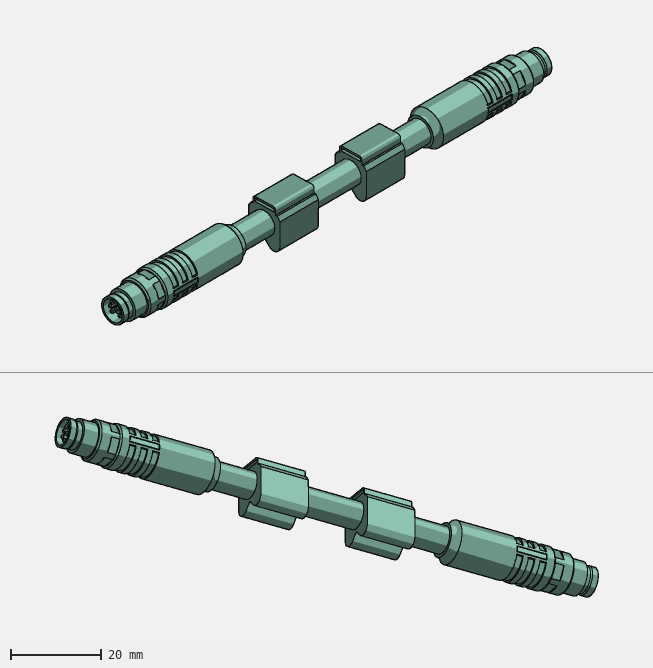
import cadquery as cq
import math

TOTAL_LENGTH = 135.8
HALF_LENGTH = TOTAL_LENGTH / 2
CABLE_RADIUS = 6.5 / 2

TIP_RADIUS = 6.9 / 2
NECK_RADIUS = 6.5 / 2
COLLAR_RADIUS = 8.0 / 2
RING_RADIUS = 9.6 / 2
BODY_RADIUS = 10.3 / 2

TIP_LENGTH = 1.5
NECK_START = 1.9
COLLAR_START = 3.1
RING_START = 6.8
RING_CHAMFER = 0.4
BODY_START = 11.8
BODY_CHAMFER = 0.4
FLARE_START = 36.1
PLUG_LENGTH = 38.1

FLAT_COUNT = 6
FLAT_DISTANCE = 4.5
FLAT_START = 9.6

GROOVE_COUNT = 3
GROOVE_START = 14.3
GROOVE_WIDTH = 1.6
GROOVE_PITCH = 3.0
GROOVE_FLOOR_RADIUS = 4.8
GRIP_LENGTH = GROOVE_PITCH * (GROOVE_COUNT - 1) + GROOVE_WIDTH
STRIP_WIDTH = 2.7
POCKET_WIDTH = 1.4
POCKET_FLOOR = 4.9

SOCKET_RADIUS = 5.8 / 2
SOCKET_DEPTH = 2.7
PIN_RADIUS = 1.0 / 2
PIN_LENGTH = 2.0
PIN_TIP_CHAMFER = 0.3
PIN_ROW_OFFSET = 1.2
SIDE_PIN_OFFSET = 1.8
KEY_BOTTOM = 1.8
KEY_HEIGHT = 1.4

CLIP_LENGTH = 12.2
CLIP_CENTRE = 13.7
CLIP_HALF_WIDTH = 9.6 / 2
CLIP_TOP = 5.7
CLIP_BOTTOM = -6.2
SHOULDER_RADIUS = 5.4
LEDGE_HEIGHT = 3.7
HOLDER_HALF_WIDTH = 3.5
HOLDER_CORNER = 0.8
FOOT_RADIUS = 1.9
NOTCH_SLOPE = 45.0
LABEL_SLOT_WIDTH = 6.1
LABEL_SLOT_BOTTOM = 4.3
LABEL_SLOT_TOP = 5.2

TIP_Y = -HALF_LENGTH


def rod(radius, start, length):
    """Round bar along +Y, its near end at Y = start."""
    return cq.Workplane("XZ", origin=(0, start, 0)).circle(radius).extrude(-length)


def bar(width, height, start, length):
    """Rectangular bar along +Y, centred on the cord axis."""
    return cq.Workplane("XZ", origin=(0, start, 0)).rect(width, height).extrude(-length)


def plug_shell():
    """Stepped turned outline of the plug at the -Y end, with a hollow flare behind the body."""
    steps = [
        (0, 0),
        (TIP_RADIUS, 0),
        (TIP_RADIUS, TIP_LENGTH),
        (NECK_RADIUS, NECK_START),
        (NECK_RADIUS, COLLAR_START),
        (COLLAR_RADIUS, COLLAR_START),
        (COLLAR_RADIUS, RING_START),
        (RING_RADIUS - RING_CHAMFER, RING_START),
        (RING_RADIUS, RING_START + RING_CHAMFER),
        (RING_RADIUS, BODY_START),
        (BODY_RADIUS - BODY_CHAMFER, BODY_START),
        (BODY_RADIUS, BODY_START + BODY_CHAMFER),
        (BODY_RADIUS, FLARE_START),
    ]
    flare_drop = BODY_RADIUS - COLLAR_RADIUS
    flare_length = PLUG_LENGTH - FLARE_START
    flare_radius = (flare_length**2 + flare_drop**2) / (2 * flare_drop)
    half_angle = math.asin(flare_length / flare_radius) / 2
    flare_middle = (
        COLLAR_RADIUS + flare_radius * (1 - math.cos(half_angle)),
        TIP_Y + PLUG_LENGTH - flare_radius * math.sin(half_angle),
    )
    return (
        cq.Workplane("ZY")
        .polyline([(radius, TIP_Y + station) for radius, station in steps])
        .threePointArc(flare_middle, (COLLAR_RADIUS, TIP_Y + PLUG_LENGTH))
        .lineTo(0, TIP_Y + PLUG_LENGTH)
        .close()
        .revolve(360, (0, 0, 0), (0, 1, 0))
    )


def ring_flats():
    """Material to remove from the ring so that a flat is left every 60 degrees."""
    length = BODY_START - FLAT_START
    start = TIP_Y + FLAT_START
    across_corners = 2 * FLAT_DISTANCE / math.cos(math.pi / FLAT_COUNT)
    hexagon = cq.Workplane("XZ", origin=(0, start, 0)).polygon(FLAT_COUNT, across_corners).extrude(-length)
    return rod(BODY_RADIUS, start, length).cut(hexagon)


def grip_groove(index):
    """One ring groove, stopping short of the plain strip on each side of the body."""
    start = TIP_Y + GROOVE_START + index * GROOVE_PITCH
    ring = rod(BODY_RADIUS, start, GROOVE_WIDTH).cut(rod(GROOVE_FLOOR_RADIUS, start, GROOVE_WIDTH))
    return ring.cut(bar(2 * BODY_RADIUS, STRIP_WIDTH, start, GROOVE_WIDTH))


def strip_pockets():
    """Shallow flat-bottomed pocket along the plain strip on each side."""
    start = TIP_Y + GROOVE_START
    across = bar(2 * BODY_RADIUS, POCKET_WIDTH, start, GRIP_LENGTH)
    return across.cut(bar(2 * POCKET_FLOOR, POCKET_WIDTH, start, GRIP_LENGTH))


def contact_pins():
    """Seven pins standing on the socket floor: four corners, two sides and the middle, with bevelled tips."""
    corners = [(x, z) for x in (-PIN_ROW_OFFSET, PIN_ROW_OFFSET) for z in (-PIN_ROW_OFFSET, PIN_ROW_OFFSET)]
    middle_row = [(-SIDE_PIN_OFFSET, 0), (0, 0), (SIDE_PIN_OFFSET, 0)]
    pin_start = TIP_Y + SOCKET_DEPTH - PIN_LENGTH
    return (
        cq.Workplane("XZ", origin=(0, pin_start, 0))
        .pushPoints(corners + middle_row)
        .circle(PIN_RADIUS)
        .extrude(-PIN_LENGTH)
        .faces("<Y")
        .chamfer(PIN_TIP_CHAMFER)
    )


def socket_key():
    """Segment along the upper socket wall with a flat underside."""
    key_start = TIP_Y + SOCKET_DEPTH - KEY_HEIGHT
    below_key = bar(2 * SOCKET_RADIUS, 2 * KEY_BOTTOM, key_start, KEY_HEIGHT)
    lower_half = bar(2 * SOCKET_RADIUS, 2 * SOCKET_RADIUS, key_start, KEY_HEIGHT)
    segment = rod(SOCKET_RADIUS, key_start, KEY_HEIGHT).cut(below_key)
    return segment.cut(lower_half.translate((0, 0, -SOCKET_RADIUS)))


def plug():
    """Complete plug at the -Y end."""
    shell = plug_shell().cut(ring_flats()).cut(strip_pockets())
    for index in range(GROOVE_COUNT):
        shell = shell.cut(grip_groove(index))
    shell = shell.cut(rod(SOCKET_RADIUS, TIP_Y, SOCKET_DEPTH))
    return shell.union(socket_key()).union(contact_pins())


def clip(centre):
    """Label clip centred at Y = centre: rounded shoulders, two feet and a flat label holder on top."""
    start = centre - CLIP_LENGTH / 2
    side_top = math.sqrt(SHOULDER_RADIUS**2 - CLIP_HALF_WIDTH**2)
    ledge_x = math.sqrt(SHOULDER_RADIUS**2 - LEDGE_HEIGHT**2)
    side_angle = math.atan2(side_top, CLIP_HALF_WIDTH)
    ledge_angle = math.atan2(LEDGE_HEIGHT, ledge_x)
    middle_angle = (side_angle + ledge_angle) / 2
    shoulder_x = SHOULDER_RADIUS * math.cos(middle_angle)
    shoulder_z = SHOULDER_RADIUS * math.sin(middle_angle)

    slope = math.radians(NOTCH_SLOPE)
    foot_x = CLIP_HALF_WIDTH - FOOT_RADIUS
    foot_z = CLIP_BOTTOM + FOOT_RADIUS
    notch_x = foot_x - FOOT_RADIUS * math.sin(slope)
    notch_z = foot_z - FOOT_RADIUS * math.cos(slope)
    notch_apex = notch_z + notch_x * math.tan(slope)

    body = (
        cq.Workplane("XZ", origin=(0, start, 0))
        .moveTo(-HOLDER_HALF_WIDTH, CLIP_TOP)
        .lineTo(HOLDER_HALF_WIDTH, CLIP_TOP)
        .lineTo(HOLDER_HALF_WIDTH, LEDGE_HEIGHT)
        .lineTo(ledge_x, LEDGE_HEIGHT)
        .threePointArc((shoulder_x, shoulder_z), (CLIP_HALF_WIDTH, side_top))
        .lineTo(CLIP_HALF_WIDTH, foot_z)
        .threePointArc((foot_x, CLIP_BOTTOM), (notch_x, notch_z))
        .lineTo(0, notch_apex)
        .lineTo(-notch_x, notch_z)
        .threePointArc((-foot_x, CLIP_BOTTOM), (-CLIP_HALF_WIDTH, foot_z))
        .lineTo(-CLIP_HALF_WIDTH, side_top)
        .threePointArc((-shoulder_x, shoulder_z), (-ledge_x, LEDGE_HEIGHT))
        .lineTo(-HOLDER_HALF_WIDTH, LEDGE_HEIGHT)
        .close()
        .extrude(-CLIP_LENGTH)
    )
    body = body.edges("|Y and >Z").fillet(HOLDER_CORNER)
    label_slot = bar(LABEL_SLOT_WIDTH, LABEL_SLOT_TOP - LABEL_SLOT_BOTTOM, start, CLIP_LENGTH)
    return body.cut(label_slot.translate((0, 0, (LABEL_SLOT_TOP + LABEL_SLOT_BOTTOM) / 2)))


near_plug = plug()
far_plug = near_plug.mirror("XZ")
cable_length = TOTAL_LENGTH - 2 * PLUG_LENGTH
cable = rod(CABLE_RADIUS, -cable_length / 2, cable_length)

result = cable.union(near_plug).union(far_plug)
for clip_y in (-CLIP_CENTRE, CLIP_CENTRE):
    result = result.union(clip(clip_y))